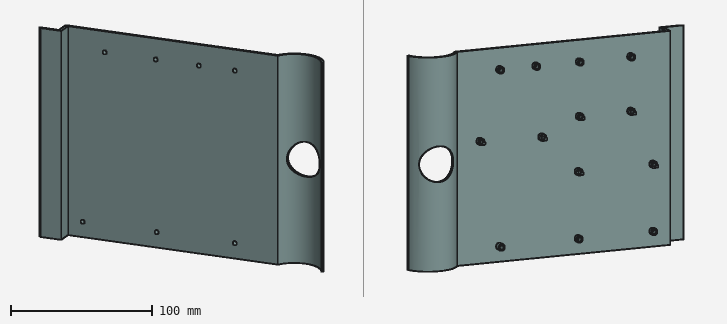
import cadquery as cq
import math

length = 216.7
height = 155.5
thickness = 2.0

flange_back_y = -12.0
flange_front_y = flange_back_y - thickness
web_left_x = 15.4
web_right_x = 18.0

trough_center_x = 197.8
trough_outer_radius = 21.0
trough_crest_y = 10.0
trough_center_y = trough_crest_y - trough_outer_radius
trough_inner_radius = trough_outer_radius - thickness
trough_tip_y = -4.0

opening_x = 198.5
opening_diameter = 26.0

boss_diameter = 5.0
boss_height = 3.3
tall_boss_height = 4.5
bore_diameter = 3.0
pin_diameter = 2.4
pin_length = 4.8

upper_row_z = 140.0
lower_row_z = 11.5
square_left_x = 46.4
square_right_x = 86.0
square_pegs_z = upper_row_z - (square_right_x - square_left_x)
wide_left_x = 29.3
wide_right_x = 87.0
wide_pegs_z = 60.2
single_x = 147.5

standoffs = [
    (square_left_x, upper_row_z),
    (square_right_x, upper_row_z),
    (119.6, upper_row_z),
    (single_x, upper_row_z),
    (wide_left_x, lower_row_z),
    (wide_right_x, lower_row_z),
]
tall_standoffs = [(single_x, lower_row_z)]
pegs = [
    (square_left_x, square_pegs_z),
    (square_right_x, square_pegs_z),
    (wide_left_x, wide_pegs_z),
    (wide_right_x, wide_pegs_z),
    (115.0, 88.0),
    (162.7, 89.3),
]


def trough_point(radius, y, side):
    """Point at height y on a trough circle; side is -1 for left, 1 for right."""
    half_chord = math.sqrt(radius**2 - (y - trough_center_y) ** 2)
    return (trough_center_x + side * half_chord, y)


def make_sheet():
    """Extrude the bent sheet outline over the full height."""
    tip_half_chord = length - trough_center_x
    outer_end_y = trough_center_y + math.sqrt(trough_outer_radius**2 - tip_half_chord**2)
    outline = (
        cq.Workplane("XY")
        .moveTo(0, flange_back_y)
        .lineTo(web_left_x, flange_back_y)
        .lineTo(web_left_x, 0)
        .lineTo(*trough_point(trough_outer_radius, 0, -1))
        .threePointArc((trough_center_x, trough_crest_y), (length, outer_end_y))
        .lineTo(length, trough_tip_y)
        .lineTo(*trough_point(trough_inner_radius, trough_tip_y, 1))
        .threePointArc(
            (trough_center_x, trough_crest_y - thickness),
            trough_point(trough_inner_radius, -thickness, -1),
        )
        .lineTo(web_right_x, -thickness)
        .lineTo(web_right_x, flange_front_y)
        .lineTo(thickness, flange_front_y)
        .close()
    )
    return outline.extrude(height)


def cylinders(positions, diameter, start_y, end_y):
    """Cylinders along Y, centred on each (x, z), from start_y to end_y."""
    plane = cq.Workplane("XZ", origin=(0, start_y, 0))
    return plane.pushPoints(positions).circle(diameter / 2).extrude(start_y - end_y)


sheet = make_sheet()
opening = cylinders([(opening_x, height / 2)], opening_diameter, flange_front_y, trough_crest_y)
sheet = sheet.cut(opening)

root_y = -thickness / 2
result = (
    sheet.union(cylinders(standoffs + pegs, boss_diameter, root_y, boss_height))
    .union(cylinders(tall_standoffs, boss_diameter, root_y, tall_boss_height))
    .union(cylinders(pegs, pin_diameter, root_y, boss_height + pin_length))
    .cut(cylinders(standoffs + tall_standoffs, bore_diameter, -thickness, tall_boss_height))
)